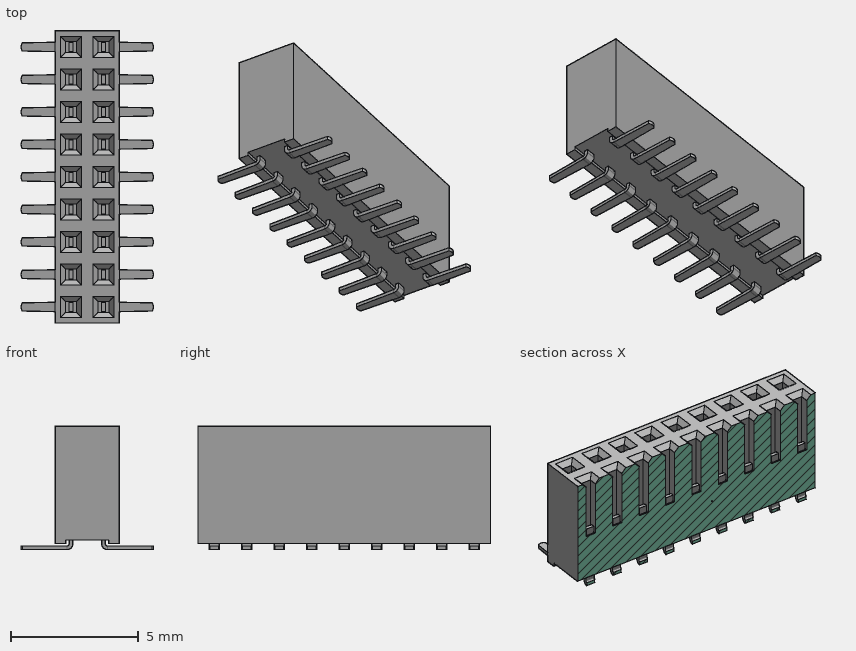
import cadquery as cq

PITCH = 1.27
CONTACTS_PER_ROW = 9
OVERALL_HEIGHT = 4.83
TAIL_SPAN = 5.18

STANDOFF = 0.235
BODY_WIDTH = 2.52
BODY_LENGTH = CONTACTS_PER_ROW * PITCH
BODY_HEIGHT = OVERALL_HEIGHT - STANDOFF
CHANNEL_WIDTH = 1.68
CHANNEL_DEPTH = 0.145

MOUTH_SIZE = 0.82
HOLE_SIZE = 0.42
LEAD_IN_DEPTH = (MOUTH_SIZE - HOLE_SIZE) / 2
HOLE_DEPTH = 2.5

METAL_THICKNESS = 0.15
POST_WIDTH = 0.35
POST_RISE = 0.3
BEND_INNER_RADIUS = 0.08
BEND_OUTER_RADIUS = BEND_INNER_RADIUS + METAL_THICKNESS
ROOT_WIDTH = 0.395
TIP_WIDTH = 0.33
TIP_BULGE = 0.055

ROW_X = PITCH / 2
CHANNEL_ROOF_Z = STANDOFF + CHANNEL_DEPTH
SOCKET_FLOOR_Z = OVERALL_HEIGHT - HOLE_DEPTH
POST_TOP_Z = SOCKET_FLOOR_Z + POST_RISE
POST_INNER_X = ROW_X - METAL_THICKNESS / 2
POST_OUTER_X = ROW_X + METAL_THICKNESS / 2
BEND_END_X = POST_INNER_X + BEND_OUTER_RADIUS
TIP_X = TAIL_SPAN / 2

CONTACT_Y = [(i - (CONTACTS_PER_ROW - 1) / 2) * PITCH for i in range(CONTACTS_PER_ROW)]
SOCKET_POINTS = [(x, y) for x in (-ROW_X, ROW_X) for y in CONTACT_Y]


def make_housing():
    """Block with a shallow channel running along its underside."""
    block = cq.Workplane("XY").workplane(offset=STANDOFF).box(
        BODY_WIDTH, BODY_LENGTH, BODY_HEIGHT, centered=(True, True, False)
    )
    channel = cq.Workplane("XY").workplane(offset=STANDOFF).box(
        CHANNEL_WIDTH, BODY_LENGTH, CHANNEL_DEPTH, centered=(True, True, False)
    )
    return block.cut(channel)


def make_socket():
    """Square blind hole with a tapered lead-in, centred on the Z axis."""
    hole = cq.Workplane("XY").workplane(offset=SOCKET_FLOOR_Z).rect(HOLE_SIZE, HOLE_SIZE).extrude(HOLE_DEPTH)
    lead_in = (
        cq.Workplane("XY")
        .workplane(offset=OVERALL_HEIGHT - LEAD_IN_DEPTH)
        .rect(HOLE_SIZE, HOLE_SIZE)
        .workplane(offset=LEAD_IN_DEPTH)
        .rect(MOUTH_SIZE, MOUTH_SIZE)
        .loft(ruled=True)
    )
    return hole.union(lead_in)


def make_post():
    """Upright part of the +X contact, ending just above the socket floor."""
    return (
        cq.Workplane("XY")
        .workplane(offset=CHANNEL_ROOF_Z)
        .center(ROW_X, 0)
        .rect(METAL_THICKNESS, POST_WIDTH)
        .extrude(POST_TOP_Z - CHANNEL_ROOF_Z)
    )


def make_bend():
    """Stub below the channel roof that turns outward into the tail."""
    return (
        cq.Workplane("XZ")
        .moveTo(POST_INNER_X, CHANNEL_ROOF_Z)
        .lineTo(POST_INNER_X, BEND_OUTER_RADIUS)
        .radiusArc((BEND_END_X, 0), -BEND_OUTER_RADIUS)
        .lineTo(BEND_END_X, METAL_THICKNESS)
        .radiusArc((POST_OUTER_X, BEND_OUTER_RADIUS), BEND_INNER_RADIUS)
        .lineTo(POST_OUTER_X, CHANNEL_ROOF_Z)
        .close()
        .extrude(ROOT_WIDTH / 2, both=True)
    )


def make_tail():
    """Flat solder tail that narrows toward its rounded tip."""
    return (
        cq.Workplane("XY")
        .moveTo(BEND_END_X, -ROOT_WIDTH / 2)
        .lineTo(TIP_X - TIP_BULGE, -TIP_WIDTH / 2)
        .threePointArc((TIP_X, 0), (TIP_X - TIP_BULGE, TIP_WIDTH / 2))
        .lineTo(BEND_END_X, ROOT_WIDTH / 2)
        .close()
        .extrude(METAL_THICKNESS)
    )


housing = make_housing()
socket = make_socket().val()
for x, y in SOCKET_POINTS:
    housing = housing.cut(cq.Workplane(socket.translate(cq.Vector(x, y, 0))))

right_contact = make_post().union(make_bend()).union(make_tail())
left_contact = right_contact.mirror("YZ")

result = housing
for y in CONTACT_Y:
    for contact in (left_contact, right_contact):
        result = result.union(contact.translate((0, y, 0)))